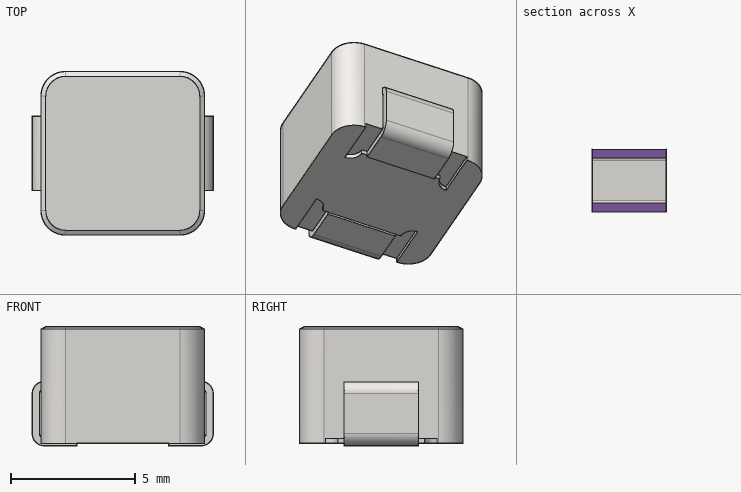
import cadquery as cq

total_length = 7.3
total_height = 4.8

body_side = 6.6
body_bottom_z = 0.1
corner_radius = 1.0
top_chamfer_inset = 0.2
top_chamfer_drop = 0.1

terminal_width = 3.0
terminal_thickness = 0.3
terminal_top_z = 2.6
terminal_foot_length = 1.8
bend_radius = 0.5
terminal_embed = 0.29

recess_width = 4.505
recess_corner_radius = 0.505

terminal_outer_x = total_length / 2
terminal_inner_x = terminal_outer_x - terminal_thickness
foot_tip_x = terminal_outer_x - terminal_foot_length
body_face_x = body_side / 2
inner_bend_radius = bend_radius - terminal_thickness
edge_margin = terminal_thickness / 4
recess_height = terminal_thickness - body_bottom_z


def mirrored_pair(shape):
    """Return the +X shape joined with its mirror image on the -X side."""
    return shape.union(shape.mirror("YZ"))


def make_body():
    """Square block with rounded upright edges and a shallow chamfer around the top."""
    block = (
        cq.Workplane("XY")
        .workplane(offset=body_bottom_z)
        .rect(body_side, body_side)
        .extrude(total_height - body_bottom_z)
        .edges("|Z")
        .fillet(corner_radius)
    )
    return block.faces(">Z").chamfer(top_chamfer_drop, top_chamfer_inset)


def make_recess():
    """Foot recess open at the +X face, with a quarter-round relief at each inner corner."""
    half_width = recess_width / 2
    wall_half_width = half_width - recess_corner_radius
    relief_x = foot_tip_x - recess_corner_radius
    pocket = (
        cq.Workplane("XY")
        .workplane(offset=body_bottom_z)
        .moveTo(body_face_x, -half_width)
        .lineTo(relief_x, -half_width)
        .radiusArc((foot_tip_x, -wall_half_width), recess_corner_radius)
        .lineTo(foot_tip_x, wall_half_width)
        .radiusArc((relief_x, half_width), recess_corner_radius)
        .lineTo(body_face_x, half_width)
        .close()
    )
    return pocket.extrude(recess_height)


def make_terminal():
    """C-shaped strip: foot under the body, upright outside it, top end sunk into the side."""
    embedded_x = body_face_x - terminal_embed
    embedded_bottom_z = terminal_top_z - terminal_thickness
    strip = (
        cq.Workplane("XZ")
        .moveTo(foot_tip_x, 0)
        .lineTo(terminal_outer_x, 0)
        .lineTo(terminal_outer_x, terminal_top_z)
        .lineTo(embedded_x, terminal_top_z)
        .lineTo(embedded_x, embedded_bottom_z)
        .lineTo(terminal_inner_x, embedded_bottom_z)
        .lineTo(terminal_inner_x, terminal_thickness)
        .lineTo(foot_tip_x, terminal_thickness)
        .close()
        .extrude(terminal_width / 2, both=True)
    )
    rounded = strip.edges("|Y and >X").fillet(bend_radius)
    inner_bends = cq.selectors.BoxSelector(
        (terminal_inner_x - edge_margin, -terminal_width, terminal_thickness - edge_margin),
        (terminal_inner_x + edge_margin, terminal_width, embedded_bottom_z + edge_margin),
    )
    return rounded.edges("|Y").edges(inner_bends).fillet(inner_bend_radius)


body = make_body().cut(mirrored_pair(make_recess()))
result = body.union(mirrored_pair(make_terminal()))